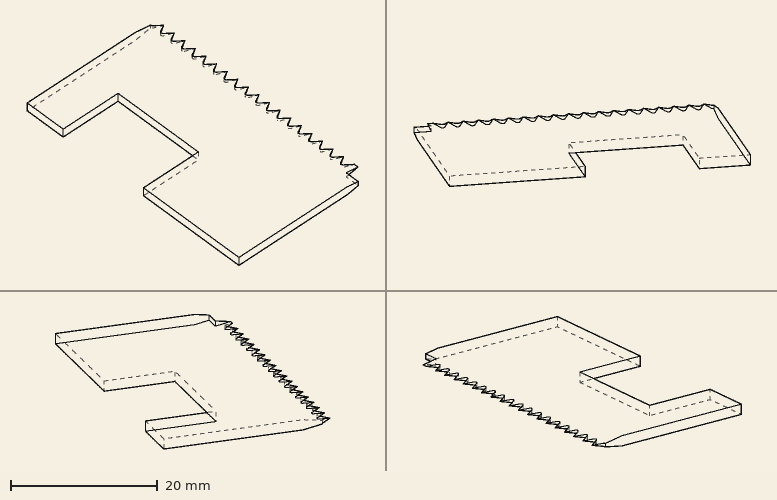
import cadquery as cq
import math

LENGTH = 42.05
WIDTH = 24.65
THICKNESS = 1.5

BEVEL_WIDTH = 4.35
EDGE_THICKNESS = 0.01

TOOTH_PITCH = 2.1
TOOTH_COUNT = 18
TOOTH_ANGLE = 60.0
GULLET_RADIUS = 0.35
TOOTH_END = 39.65

STEP_DEPTH = 2.25

SLOT_START = 7.15
SLOT_LENGTH = 15.95
SLOT_DEPTH = 10.3

half_angle = math.radians(TOOTH_ANGLE / 2)
sharp_depth = TOOTH_PITCH / 2 / math.tan(half_angle)
gullet_center_y = WIDTH - sharp_depth + GULLET_RADIUS / math.sin(half_angle)
gullet_bottom_y = gullet_center_y - GULLET_RADIUS
tangent_offset = GULLET_RADIUS * math.cos(half_angle)
tangent_y = gullet_center_y - GULLET_RADIUS * math.sin(half_angle)


def blade_body():
    """Plate along X whose +Y edge is bevelled equally on both faces."""
    half = THICKNESS / 2
    half_edge = EDGE_THICKNESS / 2
    shoulder_y = WIDTH - BEVEL_WIDTH
    section = [
        (0, -half),
        (shoulder_y, -half),
        (WIDTH, -half_edge),
        (WIDTH, half_edge),
        (shoulder_y, half),
        (0, half),
    ]
    return cq.Workplane("YZ").polyline(section).close().extrude(LENGTH)


def toothed_blank():
    """Prism of the plan outline: slot at the back, end step and teeth at the front."""
    slot_end = SLOT_START + SLOT_LENGTH
    step_y = WIDTH - STEP_DEPTH
    last_tip_x = (TOOTH_COUNT + 0.5) * TOOTH_PITCH
    outline = cq.Workplane("XY").polyline([
        (0, 0),
        (SLOT_START, 0),
        (SLOT_START, SLOT_DEPTH),
        (slot_end, SLOT_DEPTH),
        (slot_end, 0),
        (LENGTH, 0),
        (LENGTH, step_y),
        (TOOTH_END, step_y),
        (TOOTH_END, WIDTH),
        (last_tip_x, WIDTH),
    ])

    for index in reversed(range(TOOTH_COUNT)):
        gullet_x = (index + 1) * TOOTH_PITCH
        tip_x = gullet_x - TOOTH_PITCH / 2
        outline = (
            outline
            .lineTo(gullet_x + tangent_offset, tangent_y)
            .threePointArc((gullet_x, gullet_bottom_y), (gullet_x - tangent_offset, tangent_y))
            .lineTo(tip_x, WIDTH)
        )

    half_gullet_angle = (math.pi / 2 - half_angle) / 2
    half_gullet_middle = (
        GULLET_RADIUS * math.sin(half_gullet_angle),
        gullet_center_y - GULLET_RADIUS * math.cos(half_gullet_angle),
    )
    outline = (
        outline
        .lineTo(tangent_offset, tangent_y)
        .threePointArc(half_gullet_middle, (0, gullet_bottom_y))
        .close()
    )
    return outline.extrude(THICKNESS / 2, both=True)


result = blade_body().intersect(toothed_blank())